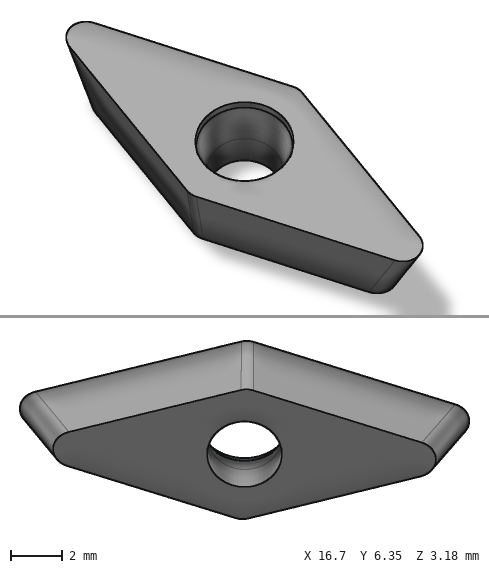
import cadquery as cq
import math

inscribed_diameter = 6.35
thickness = 3.18
corner_angle = 35.0
relief_angle = 7.0
corner_radius = 0.8

hole_diameter = 2.9
mouth_diameter = 3.82
seat_diameter = 3.74
seat_rim_depth = 0.3
seat_arc_radius = 2.7

inscribed_radius = inscribed_diameter / 2
hole_radius = hole_diameter / 2
mouth_radius = mouth_diameter / 2
seat_radius = seat_diameter / 2
edge_length = inscribed_diameter / math.sin(math.radians(corner_angle))
edge_slant = inscribed_diameter / math.tan(math.radians(corner_angle))


def make_body():
    """Rhombus with two edges along X, tapering inward below the top face, all corners rounded."""
    half_long = (edge_length + edge_slant) / 2
    half_short = (edge_length - edge_slant) / 2
    outline = [
        (-half_long, -inscribed_radius),
        (half_short, -inscribed_radius),
        (half_long, inscribed_radius),
        (-half_short, inscribed_radius),
    ]
    body = (
        cq.Workplane("XY")
        .workplane(offset=thickness)
        .polyline(outline)
        .close()
        .extrude(-thickness, taper=relief_angle)
    )
    side_edges = body.edges("not(#Z)")
    return side_edges.fillet(corner_radius)


def make_hole():
    """Through hole whose upper end flares tangentially outward, with a conical rim at the top face."""
    flare_angle = math.acos(1 - (seat_radius - hole_radius) / seat_arc_radius)
    rim_z = thickness - seat_rim_depth
    flare_start_z = rim_z - seat_arc_radius * math.sin(flare_angle)
    mid_point = (
        hole_radius + seat_arc_radius * (1 - math.cos(flare_angle / 2)),
        flare_start_z + seat_arc_radius * math.sin(flare_angle / 2),
    )
    return (
        cq.Workplane("XZ")
        .moveTo(0, 0)
        .lineTo(hole_radius, 0)
        .lineTo(hole_radius, flare_start_z)
        .threePointArc(mid_point, (seat_radius, rim_z))
        .lineTo(mouth_radius, thickness)
        .lineTo(0, thickness)
        .close()
        .revolve(360, (0, 0, 0), (0, 1, 0))
    )


result = make_body().cut(make_hole())